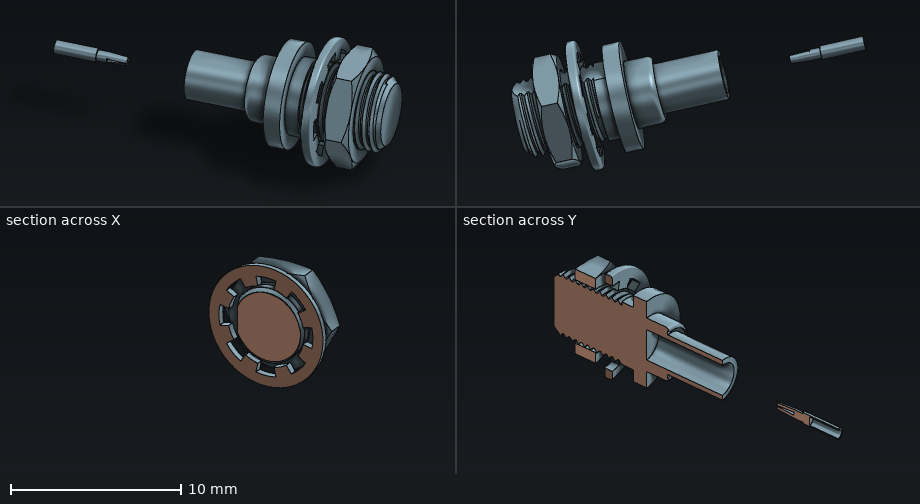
import cadquery as cq
import math


contact_barrel_end = 2.63
contact_collar_end = 3.28
contact_length = 4.51
contact_barrel_diameter = 0.85
contact_collar_diameter = 0.7
contact_tip_diameter = 0.52
wire_bore_diameter = 0.6
wire_bore_depth = 2.1
slot_root_width = 0.19
finger_taper = (contact_collar_diameter - contact_tip_diameter) / 2
slot_tip_width = slot_root_width - 2 * finger_taper

tube_start = 8.5
shoulder_start = 12.35
flange_start = 14.07
flange_end = 15.1
thread_start = 15.9
ridge_start = 15.957
housing_end = 20.9
tube_diameter = 3.0
tube_bore_diameter = 2.24
shoulder_diameter = 4.05
shoulder_fillet = 0.4
recess_diameter = 3.53
recess_depth = 0.17
flange_diameter = 6.5
thread_diameter = 4.72
thread_pitch = 0.45
thread_turns = 10.5
thread_depth = 0.23
thread_flank_angle = 35.0
crest_width = 0.02
ridge_embed = 0.05
end_chamfer = 0.48
flat_offset = 1.96

washer_start = 16.6
washer_thickness = 0.59
washer_diameter = 7.8
washer_edge_radius = 0.178
washer_notch_count = 8
washer_notch_angle = 24.0
washer_notch_diameter = 6.35
washer_bore_diameter = 5.15

nut_start = 17.83
nut_thickness = 1.53
nut_across_flats = 6.37
nut_chamfer_angle = 30.0


def cylinder(diameter, start, end):
    """Cylinder on the X axis between two X positions."""
    return cq.Workplane("YZ").workplane(offset=start).circle(diameter / 2).extrude(end - start)


def revolve_about_x(profile):
    return profile.revolve(360, (0, 0, 0), (1, 0, 0))


def make_contact():
    tip = revolve_about_x(
        cq.Workplane("XY")
        .moveTo(contact_collar_end, 0)
        .lineTo(contact_collar_end, contact_collar_diameter / 2)
        .lineTo(contact_length, contact_tip_diameter / 2)
        .lineTo(contact_length, 0)
        .close()
    )
    slot = (
        cq.Workplane("XZ")
        .moveTo(contact_collar_end, -slot_root_width / 2)
        .lineTo(contact_collar_end, slot_root_width / 2)
        .lineTo(contact_length, slot_tip_width / 2)
        .lineTo(contact_length, -slot_tip_width / 2)
        .close()
        .extrude(contact_collar_diameter, both=True)
    )
    barrel = cylinder(contact_barrel_diameter, 0, contact_barrel_end)
    collar = cylinder(contact_collar_diameter, contact_barrel_end, contact_collar_end)
    wire_bore = cylinder(wire_bore_diameter, 0, wire_bore_depth)
    return barrel.union(collar).union(tip.cut(slot)).cut(wire_bore)


def make_thread_ridge():
    """Helical ridge with its foot sunk slightly into the thread core."""
    crest_radius = thread_diameter / 2
    foot_radius = crest_radius - thread_depth - ridge_embed
    flank_run = (thread_depth + ridge_embed) * math.tan(math.radians(thread_flank_angle))
    half_crest = crest_width / 2
    half_foot = half_crest + flank_run
    helix = cq.Wire.makeHelix(thread_pitch, thread_pitch * thread_turns, crest_radius)
    ridge = (
        cq.Workplane("XZ")
        .moveTo(foot_radius, -half_foot)
        .lineTo(crest_radius, -half_crest)
        .lineTo(crest_radius, half_crest)
        .lineTo(foot_radius, half_foot)
        .close()
        .sweep(cq.Workplane(obj=helix), isFrenet=True)
    )
    return ridge.rotate((0, 0, 0), (0, 1, 0), 90).translate((ridge_start, 0, 0))


def make_threaded_barrel():
    core_diameter = thread_diameter - 2 * thread_depth
    collar = cylinder(thread_diameter, flange_end, thread_start)
    core = cylinder(core_diameter, flange_end, housing_end)
    barrel = core.union(collar).union(make_thread_ridge())
    barrel_length = housing_end - flange_end
    flat_side = (
        cq.Workplane("XY")
        .box(barrel_length, thread_diameter, thread_diameter, centered=(False, False, True))
        .translate((flange_end, flat_offset, 0))
    )
    end_radius = thread_diameter / 2 - end_chamfer
    ring_size = 2 * end_chamfer
    chamfer_ring = revolve_about_x(
        cq.Workplane("XY")
        .moveTo(housing_end, end_radius)
        .lineTo(housing_end, end_radius + ring_size)
        .lineTo(housing_end - ring_size, end_radius + ring_size)
        .close()
    )
    return barrel.cut(flat_side).cut(chamfer_ring)


def make_housing():
    tube = cylinder(tube_diameter, tube_start, flange_start)
    shoulder = cylinder(shoulder_diameter, shoulder_start, flange_start)
    shoulder = shoulder.faces("<X").edges().fillet(shoulder_fillet)
    shoulder = shoulder.cut(cylinder(recess_diameter, shoulder_start, shoulder_start + recess_depth))
    flange = cylinder(flange_diameter, flange_start, flange_end)
    tube_bore = cylinder(tube_bore_diameter, tube_start, flange_start)
    return flange.union(shoulder).union(tube).cut(tube_bore).union(make_threaded_barrel())


def make_washer():
    washer_end = washer_start + washer_thickness
    washer = cylinder(washer_diameter, washer_start, washer_end).edges().fillet(washer_edge_radius)
    notch_field = cylinder(washer_notch_diameter, washer_start, washer_end)
    sector_length = washer_diameter / 2
    sector_half_width = sector_length * math.tan(math.radians(washer_notch_angle / 2))
    sector = (
        cq.Workplane("YZ")
        .workplane(offset=washer_start)
        .lineTo(sector_length, -sector_half_width)
        .lineTo(sector_length, sector_half_width)
        .close()
        .extrude(washer_thickness)
    )
    notch = sector.intersect(notch_field)
    for index in range(washer_notch_count):
        washer = washer.cut(notch.rotate((0, 0, 0), (1, 0, 0), index * 360 / washer_notch_count))
    return washer.cut(cylinder(washer_bore_diameter, washer_start, washer_end))


def make_nut():
    nut_end = nut_start + nut_thickness
    flat_radius = nut_across_flats / 2
    corner_radius = flat_radius / math.cos(math.pi / 6)
    chamfer_length = (corner_radius - flat_radius) * math.tan(math.radians(nut_chamfer_angle))
    hexagon = (
        cq.Workplane("YZ")
        .workplane(offset=nut_start)
        .polygon(6, 2 * corner_radius)
        .extrude(nut_thickness)
    )
    turned_blank = revolve_about_x(
        cq.Workplane("XY")
        .moveTo(nut_start, 0)
        .lineTo(nut_start, flat_radius)
        .lineTo(nut_start + chamfer_length, corner_radius)
        .lineTo(nut_end - chamfer_length, corner_radius)
        .lineTo(nut_end, flat_radius)
        .lineTo(nut_end, 0)
        .close()
    )
    return hexagon.intersect(turned_blank).cut(cylinder(thread_diameter, nut_start, nut_end))


contact = make_contact()
housing = make_housing()
washer = make_washer()
nut = make_nut()

result = cq.Compound.makeCompound([contact.val(), housing.val(), washer.val(), nut.val()])